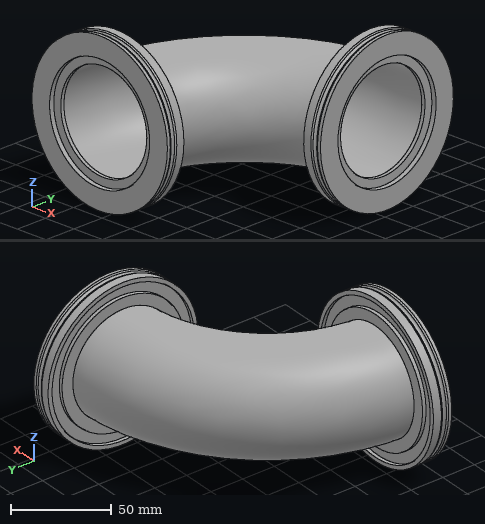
import cadquery as cq

overall_length = 149.0
flange_diameter = 95.0

flange_thickness = 11.8
centering_bore_diameter = 70.0
centering_bore_depth = 3.0
through_bore_depth = 2.2
clamp_groove_front = 2.1
clamp_groove_back = 6.7
clamp_groove_depth = 1.6
groove_lip_width = 1.0
groove_lip_depth = 0.5
back_groove_inner_diameter = 77.2
back_groove_outer_diameter = 89.9
back_groove_depth = 2.2

tube_outer_diameter = 63.8
tube_inner_diameter = 60.2

axis_to_face = overall_length - flange_diameter / 2
tube_end_depth = centering_bore_depth + through_bore_depth
bend_radius = axis_to_face - tube_end_depth


def ring(outer_diameter, inner_diameter, start, length):
    """Ring about Z between start and start + length."""
    return (
        cq.Workplane("XY", origin=(0, 0, start))
        .circle(outer_diameter / 2)
        .circle(inner_diameter / 2)
        .extrude(length)
    )


def clamp_groove():
    """Groove around the rim with bevelled lips and a round floor, as a ring about Z."""
    rim_radius = flange_diameter / 2
    lip_radius = rim_radius - groove_lip_depth
    floor_radius = rim_radius - clamp_groove_depth
    groove_middle = (clamp_groove_front + clamp_groove_back) / 2
    return (
        cq.Workplane("XZ")
        .moveTo(rim_radius, clamp_groove_front)
        .lineTo(lip_radius, clamp_groove_front + groove_lip_width)
        .threePointArc((floor_radius, groove_middle), (lip_radius, clamp_groove_back - groove_lip_width))
        .lineTo(rim_radius, clamp_groove_back)
        .close()
        .revolve(360, (0, 0, 0), (0, 1, 0))
    )


def make_flange():
    """Flange about Z with its sealing face at Z = 0 and its back at +Z, before the tube socket is cut."""
    flange = ring(flange_diameter, tube_inner_diameter, 0, flange_thickness)
    centering_bore = cq.Workplane("XY").circle(centering_bore_diameter / 2).extrude(centering_bore_depth)
    back_groove = ring(
        back_groove_outer_diameter,
        back_groove_inner_diameter,
        flange_thickness - back_groove_depth,
        back_groove_depth,
    )
    return flange.cut(centering_bore).cut(back_groove).cut(clamp_groove())


def bend(diameter):
    """Solid 90 degree bend from the inlet to the outlet tube end."""
    return (
        cq.Workplane("XZ", origin=(0, -bend_radius, 0))
        .circle(diameter / 2)
        .revolve(90, (bend_radius, 0, 0), (bend_radius, -1, 0))
    )


def make_elbow_tube():
    """Tube bent through 90 degrees, its ends seated inside the flanges."""
    return bend(tube_outer_diameter).cut(bend(tube_inner_diameter))


elbow_tube = make_elbow_tube()

flange_places = [
    ((1, 0, 0), -90, (0, -axis_to_face, 0)),
    ((0, 1, 0), -90, (axis_to_face, 0, 0)),
]
flanges = []
for rotation_axis, angle, face_centre in flange_places:
    flange = make_flange().rotate((0, 0, 0), rotation_axis, angle).translate(face_centre)
    tube_socket = bend(tube_outer_diameter)
    flanges.append(flange.cut(tube_socket).val())

result = cq.Compound.makeCompound([elbow_tube.val(), *flanges])